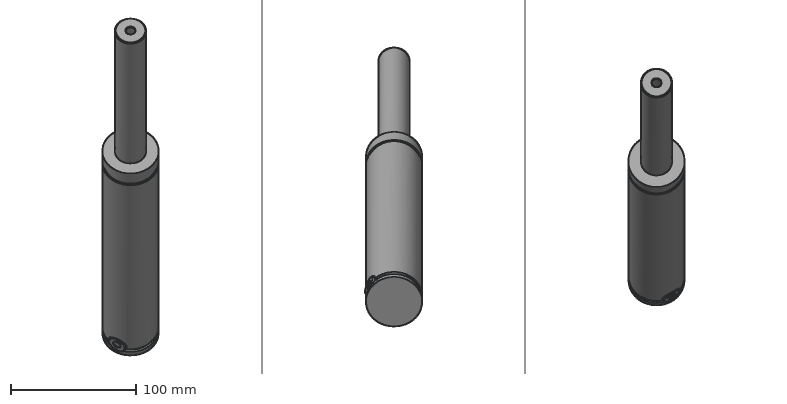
import cadquery as cq

total_height = 405
body_diameter = 45.0
rod_diameter = 25.0
body_radius = body_diameter / 2
rod_radius = rod_diameter / 2

body_height = 244.0
rod_chamfer = 1.0
cap_groove_bottom = 228.0
cap_groove_width = 2.5
cap_groove_depth = 1.2
foot_height = 5.0
foot_groove_top = 8.5
foot_groove_depth = 3.5
foot_ledge_width = 2.0

rod_hole_diameter = 7.0
rod_hole_depth = 16
rod_hole_tip_angle = 59
rod_hole_tip_length = 2.0
rod_hole_chamfer = 0.6

port_height = 10.5
port_diameter = 16
port_plug_diameter = 14.0
port_hole_diameter = 7.0
port_hole_depth = 1.0
port_depth = 6.0


def make_cylinder_and_rod():
    """Revolve the body, its two grooves and the rod as one profile."""
    foot_groove_radius = body_radius - foot_groove_depth
    cap_groove_radius = body_radius - cap_groove_depth
    cap_groove_top = cap_groove_bottom + cap_groove_width
    ledge_radius = body_radius - foot_ledge_width
    profile = (
        cq.Workplane("XZ")
        .lineTo(body_radius, 0)
        .lineTo(body_radius, foot_height)
        .lineTo(ledge_radius, foot_height)
        .lineTo(foot_groove_radius, foot_groove_top)
        .lineTo(body_radius, foot_groove_top)
        .lineTo(body_radius, cap_groove_bottom)
        .lineTo(cap_groove_radius, cap_groove_bottom)
        .lineTo(cap_groove_radius, cap_groove_top)
        .lineTo(body_radius, cap_groove_top)
        .lineTo(body_radius, body_height)
        .lineTo(rod_radius, body_height)
        .lineTo(rod_radius, total_height - rod_chamfer)
        .lineTo(rod_radius - rod_chamfer, total_height)
        .lineTo(0, total_height)
        .close()
    )
    return profile.revolve(360, (0, 0, 0), (0, 1, 0))


def make_rod_hole():
    """Blind hole down the rod axis with a countersunk mouth and a drill-point tip."""
    mouth_diameter = rod_hole_diameter + 2 * rod_hole_chamfer
    top = cq.Workplane("XY", origin=(0, 0, total_height))
    hole = top.circle(rod_hole_diameter / 2).extrude(-rod_hole_depth)
    mouth = top.circle(mouth_diameter / 2).extrude(-rod_hole_chamfer, taper=45)
    tip = (
        cq.Workplane("XY", origin=(0, 0, total_height - rod_hole_depth))
        .circle(rod_hole_diameter / 2)
        .extrude(-rod_hole_tip_length, taper=rod_hole_tip_angle)
    )
    return hole.union(mouth).union(tip)


def port_plane():
    """Plane touching the -Y side of the body, facing outward."""
    return cq.Workplane("XZ", origin=(0, -body_radius, port_height))


def make_port_disc(diameter, depth):
    """Disc reaching from the port plane into the body."""
    return port_plane().circle(diameter / 2).extrude(-depth)


result = (
    make_cylinder_and_rod()
    .cut(make_rod_hole())
    .cut(make_port_disc(port_diameter, port_depth))
    .union(make_port_disc(port_plug_diameter, port_depth))
    .cut(make_port_disc(port_hole_diameter, port_hole_depth))
)